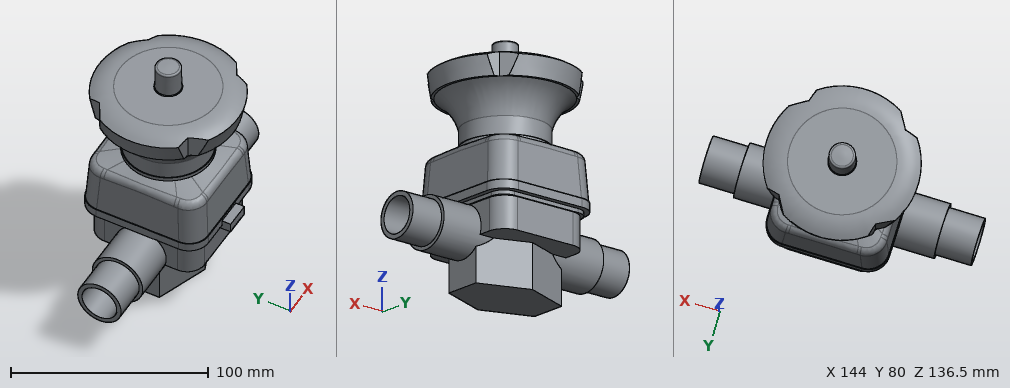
import cadquery as cq
import math


PIPE_LENGTH = 144.0
PIPE_RADIUS = 12.5
BORE_RADIUS = 10.01
SLEEVE_LENGTH = 106.1
SLEEVE_RADIUS = 14.5

BLOCK_HALF_X = 28.5
BLOCK_HALF_Y = 31.2
BLOCK_CORNER = 10.1
BLOCK_BOTTOM_Z = -4.5
BLOCK_TOP_Z = 13.4
FOOT_BOTTOM_Z = -29.5
FOOT_HALF_Y = BLOCK_HALF_Y - BLOCK_CORNER
FOOT_END_HALF_Y = FOOT_HALF_Y / 2

CORNER_CENTRE_X = 21.2
CORNER_CENTRE_Y = 23.8
DIAPHRAGM_CORNER = 8.2
DIAPHRAGM_THICKNESS = 2.2
DIAPHRAGM_TOP_Z = BLOCK_TOP_Z + DIAPHRAGM_THICKNESS
LUG_WIDTH = 14.4
LUG_HEIGHT = 5.5
LUG_END_Y = -40.0

RIM_CORNER = 11.2
RIM_TOP_Z = 20.5
RIM_FACE_Y = -(CORNER_CENTRE_Y + RIM_CORNER)
HOOD_CORNER = 10.8
HOOD_TOP_Z = 45.8
HOOD_DRAFT_INSET = 1.6
SHOULDER_RADIUS = 4.3
COLLAR_RADIUS = 24.2
COLLAR_BOTTOM_Z = 48.7
COLLAR_TOP_Z = 50.8
ROOF_SEAM_X = 12.8
ROOF_SEAM_Y = 14.5

SELECTION_MARGIN = 0.1

NECK_RADIUS = 23.8
NECK_TOP_Z = 60.8
FLARE_MID_RADIUS = 29.7
FLARE_MID_Z = 72.3
FLARE_RADIUS = 36.1
GRIP_BOTTOM_RADIUS = 37.7
GRIP_BOTTOM_Z = 77.6
GRIP_TOP_RADIUS = 40.0
GRIP_TOP_Z = 88.5
CROWN_RADIUS = 27.6
CROWN_Z = 92.3
NOTCH_COUNT = 4
NOTCH_FIRST_ANGLE = 45.0
NOTCH_ROOT_RADIUS = 36.1
NOTCH_LEADING_ANGLE = 14.4
NOTCH_TRAILING_ANGLE = 8.8

STEM_BASE_RADIUS = 6.9
STEM_TOP_RADIUS = 6.8
STEM_ROOT_FLARE = 0.5
STEM_SIDE_TOP_Z = 105.7
STEM_EDGE_RADIUS = 5.6
STEM_EDGE_Z = 106.5
STEM_TOP_Z = 107.0


def rounded_block(half_x, half_y, corner, bottom_z, top_z):
    """Rectangular block centred on the Z axis, with rounded upright edges."""
    return (
        cq.Workplane("XY", origin=(0, 0, bottom_z))
        .rect(2 * half_x, 2 * half_y)
        .extrude(top_z - bottom_z)
        .edges("|Z")
        .fillet(corner)
    )


def corner_block(corner, bottom_z, top_z):
    """Plate with rounded corners about the corner centres that diaphragm and bonnet share."""
    return rounded_block(CORNER_CENTRE_X + corner, CORNER_CENTRE_Y + corner, corner, bottom_z, top_z)


def x_cylinder(radius, length):
    """Cylinder along X, centred on the origin."""
    return cq.Workplane("YZ").circle(radius).extrude(length / 2, both=True)


def make_body():
    block = rounded_block(BLOCK_HALF_X, BLOCK_HALF_Y, BLOCK_CORNER, BLOCK_BOTTOM_Z, BLOCK_TOP_Z)
    foot = (
        cq.Workplane("XY", origin=(0, 0, FOOT_BOTTOM_Z))
        .polyline([
            (-BLOCK_HALF_X, -FOOT_END_HALF_Y),
            (0, -FOOT_HALF_Y),
            (BLOCK_HALF_X, -FOOT_END_HALF_Y),
            (BLOCK_HALF_X, FOOT_END_HALF_Y),
            (0, FOOT_HALF_Y),
            (-BLOCK_HALF_X, FOOT_END_HALF_Y),
        ])
        .close()
        .extrude(BLOCK_BOTTOM_Z - FOOT_BOTTOM_Z)
    )
    sleeve = x_cylinder(SLEEVE_RADIUS, SLEEVE_LENGTH)
    pipe = x_cylinder(PIPE_RADIUS, PIPE_LENGTH)
    bore = x_cylinder(BORE_RADIUS, PIPE_LENGTH)
    return block.union(foot).union(sleeve).union(pipe).cut(bore)


def lug_bar(inner_y, height):
    """Bar of the lug's width, from the lug end to inner_y, standing on the block top level."""
    bar = cq.Workplane("XY").box(LUG_WIDTH, inner_y - LUG_END_Y, height, centered=(True, False, False))
    return bar.translate((0, LUG_END_Y, BLOCK_TOP_Z))


def make_diaphragm():
    plate = corner_block(DIAPHRAGM_CORNER, BLOCK_TOP_Z, DIAPHRAGM_TOP_Z)
    tongue = lug_bar(-CORNER_CENTRE_Y, DIAPHRAGM_THICKNESS)
    lug = lug_bar(RIM_FACE_Y, LUG_HEIGHT)
    return plate.union(tongue).union(lug)


def rounded_rectangle_wire(half_x, half_y, corner, z):
    """Rounded rectangle of four straight sides and four corner arcs, starting at its +X side."""
    flat_x = half_x - corner
    flat_y = half_y - corner
    bulge = corner * math.sqrt(0.5)
    return (
        cq.Workplane("XY", origin=(0, 0, z))
        .moveTo(half_x, -flat_y)
        .lineTo(half_x, flat_y)
        .threePointArc((flat_x + bulge, flat_y + bulge), (flat_x, half_y))
        .lineTo(-flat_x, half_y)
        .threePointArc((-flat_x - bulge, flat_y + bulge), (-half_x, flat_y))
        .lineTo(-half_x, -flat_y)
        .threePointArc((-flat_x - bulge, -flat_y - bulge), (-flat_x, -half_y))
        .lineTo(flat_x, -half_y)
        .threePointArc((flat_x + bulge, -flat_y - bulge), (half_x, -flat_y))
        .close()
        .val()
    )


def collar_wire(z):
    """Circle of eight arcs, each matching one side or corner of the rounded rectangle below it."""
    corner_start = math.asin(ROOF_SEAM_Y / COLLAR_RADIUS)
    corner_end = math.acos(ROOF_SEAM_X / COLLAR_RADIUS)
    angles = [
        -corner_start,
        corner_start,
        corner_end,
        math.pi - corner_end,
        math.pi - corner_start,
        math.pi + corner_start,
        math.pi + corner_end,
        2 * math.pi - corner_end,
        2 * math.pi - corner_start,
    ]

    def point(angle):
        return (COLLAR_RADIUS * math.cos(angle), COLLAR_RADIUS * math.sin(angle))

    circle = cq.Workplane("XY", origin=(0, 0, z)).moveTo(*point(angles[0]))
    for start, end in zip(angles, angles[1:]):
        circle = circle.threePointArc(point((start + end) / 2), point(end))
    return circle.close().val()


def make_bonnet():
    rim = corner_block(RIM_CORNER, DIAPHRAGM_TOP_Z, RIM_TOP_Z)
    hood_half_x = CORNER_CENTRE_X + HOOD_CORNER
    hood_half_y = CORNER_CENTRE_Y + HOOD_CORNER
    hood_foot = rounded_rectangle_wire(hood_half_x, hood_half_y, HOOD_CORNER, RIM_TOP_Z)
    hood_top = rounded_rectangle_wire(
        hood_half_x - HOOD_DRAFT_INSET,
        hood_half_y - HOOD_DRAFT_INSET,
        HOOD_CORNER,
        HOOD_TOP_Z,
    )
    hood = cq.Workplane(cq.Solid.makeLoft([hood_foot, hood_top], True))
    roof = cq.Workplane(cq.Solid.makeLoft([hood_top, collar_wire(COLLAR_BOTTOM_Z)], True))
    shoulder_edges = cq.selectors.BoxSelector(
        (-hood_half_x, -hood_half_y, HOOD_TOP_Z - SELECTION_MARGIN),
        (hood_half_x, hood_half_y, HOOD_TOP_Z + SELECTION_MARGIN),
    )
    hood = hood.union(roof).edges(shoulder_edges).fillet(SHOULDER_RADIUS)
    collar = (
        cq.Workplane("XY", origin=(0, 0, COLLAR_BOTTOM_Z))
        .circle(COLLAR_RADIUS)
        .extrude(COLLAR_TOP_Z - COLLAR_BOTTOM_Z)
    )
    return rim.union(hood).union(collar)


def notch(angle):
    """V-shaped prism that opens outwards from its root, seen along Z."""
    def polar(radius, degrees):
        return (radius * math.cos(math.radians(degrees)), radius * math.sin(math.radians(degrees)))

    root = polar(NOTCH_ROOT_RADIUS, angle)
    leading = polar(GRIP_TOP_RADIUS, angle + NOTCH_LEADING_ANGLE)
    trailing = polar(GRIP_TOP_RADIUS, angle - NOTCH_TRAILING_ANGLE)
    outer = polar(2 * GRIP_TOP_RADIUS, angle)
    return (
        cq.Workplane("XY", origin=(0, 0, GRIP_BOTTOM_Z))
        .polyline([root, trailing, outer, leading])
        .close()
        .extrude(CROWN_Z - GRIP_BOTTOM_Z)
    )


def make_stem():
    """Slightly tapered stem with a flared root, a rounded edge and a shallow conical end."""
    return (
        cq.Workplane("XZ")
        .moveTo(0, CROWN_Z)
        .lineTo(STEM_BASE_RADIUS + STEM_ROOT_FLARE, CROWN_Z)
        .lineTo(STEM_BASE_RADIUS, CROWN_Z + STEM_ROOT_FLARE)
        .lineTo(STEM_TOP_RADIUS, STEM_SIDE_TOP_Z)
        .tangentArcPoint((STEM_EDGE_RADIUS, STEM_EDGE_Z), relative=False)
        .lineTo(0, STEM_TOP_Z)
        .close()
        .revolve(360, (0, 0, 0), (0, 1, 0))
    )


def make_handwheel():
    crown_width = GRIP_TOP_RADIUS - CROWN_RADIUS
    crown_drop = CROWN_Z - GRIP_TOP_Z
    crown_arc_radius = (crown_width**2 + crown_drop**2) / (2 * crown_drop)
    half_turn = math.asin(crown_width / crown_arc_radius) / 2
    crown_mid = (
        CROWN_RADIUS + crown_arc_radius * math.sin(half_turn),
        CROWN_Z - crown_arc_radius * (1 - math.cos(half_turn)),
    )
    wheel = (
        cq.Workplane("XZ")
        .moveTo(0, COLLAR_TOP_Z)
        .lineTo(NECK_RADIUS, COLLAR_TOP_Z)
        .lineTo(NECK_RADIUS, NECK_TOP_Z)
        .threePointArc((FLARE_MID_RADIUS, FLARE_MID_Z), (FLARE_RADIUS, GRIP_BOTTOM_Z))
        .lineTo(GRIP_BOTTOM_RADIUS, GRIP_BOTTOM_Z)
        .lineTo(GRIP_TOP_RADIUS, GRIP_TOP_Z)
        .threePointArc(crown_mid, (CROWN_RADIUS, CROWN_Z))
        .lineTo(0, CROWN_Z)
        .close()
        .revolve(360, (0, 0, 0), (0, 1, 0))
    )
    for index in range(NOTCH_COUNT):
        wheel = wheel.cut(notch(NOTCH_FIRST_ANGLE + index * 360 / NOTCH_COUNT))
    return wheel.union(make_stem())


diaphragm = make_diaphragm()
body = make_body().cut(diaphragm)
bonnet = make_bonnet()
handwheel = make_handwheel()

result = cq.Compound.makeCompound([body.val(), diaphragm.val(), bonnet.val(), handwheel.val()])